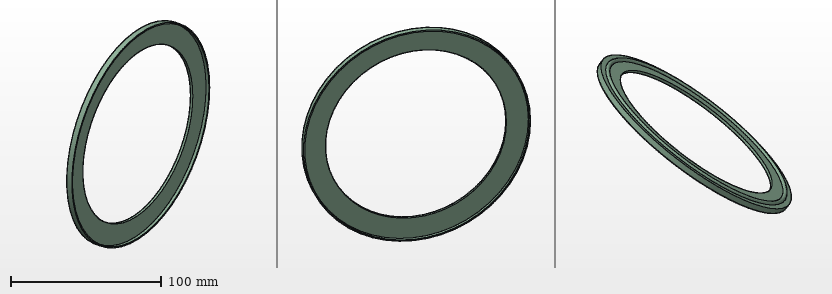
import cadquery as cq

outer_radius = 78.5
bore_radius = 62.5
total_thickness = 5.8
bead_radius = 1.5
bead_circle_radius = 73.0
web_thickness = 1.9
rim_wall = 1.0
lip_rise = 0.2

rim_length = total_thickness - bead_radius
rim_inner_radius = outer_radius - rim_wall
bead_inner_radius = bead_circle_radius - bead_radius
bead_outer_radius = bead_circle_radius + bead_radius

section = (
    cq.Workplane("XY")
    .moveTo(-lip_rise, bore_radius)
    .lineTo(0, bead_inner_radius)
    .threePointArc((-bead_radius, bead_circle_radius), (0, bead_outer_radius))
    .lineTo(0, outer_radius)
    .lineTo(rim_length, outer_radius)
    .lineTo(rim_length, rim_inner_radius)
    .lineTo(web_thickness, rim_inner_radius)
    .lineTo(web_thickness, bore_radius)
    .close()
)

result = section.revolve(360, (0, 0, 0), (1, 0, 0))